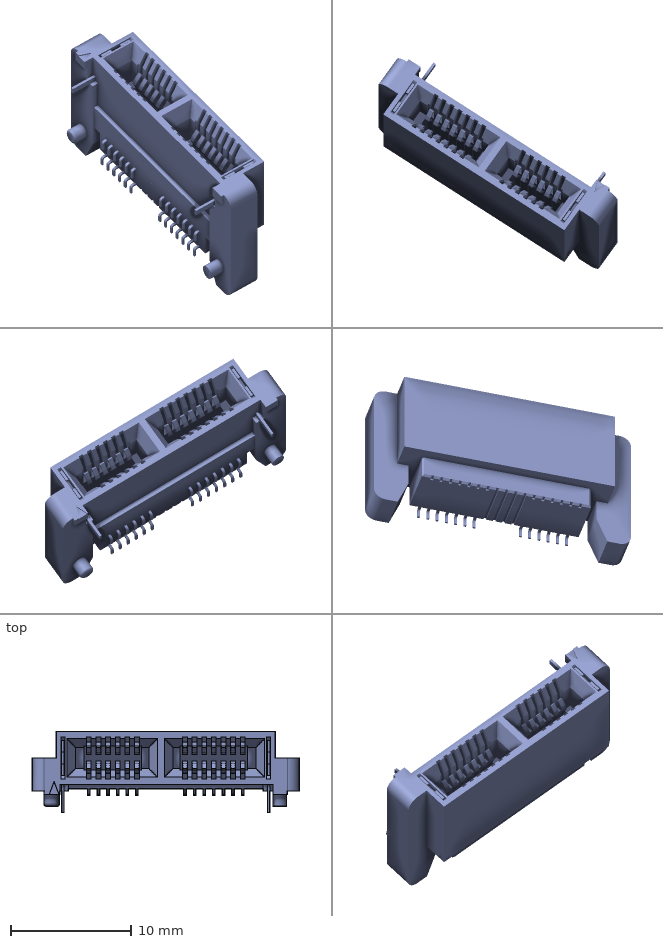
import cadquery as cq


total_height = 12.05
shell_back_y = 4.95
shell_front_y = 0.55
mating_y = 2.75

shell_half_width = 9.1
shell_bottom_z = 4.26

ledge_half_width = 8.1
ledge_front_y = 0.18
ledge_top_z = 6.75

leg_outer_x = 11.1
leg_back_y = mating_y
leg_corner_radius = 1.0
leg_tip_x = 9.05
leg_taper_z = 2.3
leg_step_z = 9.45
left_upper_x = 8.8
right_upper_x = 8.9

pad_width_end_x = 10.1
pad_height = 1.0
pad_thickness = 0.27

mark_center_x = -9.28
mark_half_width = 0.4
mark_length = 1.05
mark_depth = 0.1

peg_x = 9.48
peg_z = 2.78
peg_length = 1.27
round_peg_diameter = 1.29
round_peg_fillet = 0.2
oval_peg_width = 1.15

pitch = 0.8
position_count = 17
empty_positions = (6, 7, 8, 9)
position_xs = [(i - (position_count - 1) / 2) * pitch for i in range(position_count)]
left_group_xs = position_xs[:empty_positions[0]]
right_group_xs = position_xs[empty_positions[-1] + 1:]
contact_xs = left_group_xs + right_group_xs

left_pocket_x = (-8.21, -0.69)
right_pocket_x = (-0.1, 8.21)
pocket_half_depth = 1.6
funnel_inset = 0.7
funnel_depth = 1.27
pocket_floor_z = 8.21
opening_margin = 0.4
opening_half_depth = 1.0
slot_half_depth = 1.73
blade_width = 0.4

clip_x = 8.55
clip_thickness = 0.22
clip_slot_width = 0.35
clip_half_depth = 1.47
clip_top_z = 11.99
clip_bottom_z = leg_step_z
clip_notch_half = 0.49
clip_notch_depth = 0.33
clip_taper_depth = 0.33
post_height = 0.53
post_tip_y = -1.8

carrier_half_width = 7.3
carrier_front_y = ledge_front_y
carrier_back_y = 4.08
carrier_bottom_z = 2.26
carrier_chamfer = 0.15

tail_width = 0.22
tail_thickness = 0.15
tail_bend_radius = 0.29
front_tail_y = -0.27
front_tail_end_z = 3.33
rear_tail_y = -0.35
rear_tail_end_z = 1.53
leg_inner_offset = 0.78
leg_outer_offset = leg_inner_offset + tail_thickness
leg_embed = 0.22


def box(x_range, y_range, z_range):
    size = [end - start for start, end in (x_range, y_range, z_range)]
    return cq.Workplane("XY").box(*size, centered=False).translate((x_range[0], y_range[0], z_range[0]))


def around(center, half):
    return (center - half, center + half)


def yz_prism(sketch_points, center_x, width):
    """Closed (y, z) polygon extruded to a width centred on center_x."""
    outline = cq.Workplane("YZ", origin=(center_x - width / 2, 0, 0)).polyline(sketch_points).close()
    return outline.extrude(width)


def leg(side, upper_distance):
    """Leg on one side (-1 left, +1 right) with rounded outer corners and a tapered foot."""
    outline = [
        (side * upper_distance, total_height),
        (side * leg_outer_x, total_height),
        (side * leg_outer_x, 0),
        (side * leg_tip_x, 0),
        (side * ledge_half_width, leg_taper_z),
        (side * ledge_half_width, leg_step_z),
        (side * upper_distance, leg_step_z),
    ]
    blank = cq.Workplane("XZ").polyline(outline).close().extrude(-leg_back_y)
    outer_face = "<X" if side < 0 else ">X"
    return blank.faces(outer_face).edges("|Y").fillet(leg_corner_radius)


def pad(side, upper_distance):
    x_range = sorted((side * upper_distance, side * pad_width_end_x))
    return box(x_range, (-pad_thickness, 0), (total_height - pad_height, total_height))


def pin_one_mark():
    front_y = -pad_thickness
    triangle = [
        (mark_center_x - mark_half_width, front_y),
        (mark_center_x + mark_half_width, front_y),
        (mark_center_x, front_y + mark_length),
    ]
    plane = cq.Workplane("XY", origin=(0, 0, total_height - mark_depth))
    return plane.polyline(triangle).close().extrude(mark_depth)


def round_peg():
    peg = cq.Workplane("XZ", origin=(-peg_x, 0, peg_z)).circle(round_peg_diameter / 2).extrude(peg_length)
    return peg.faces("<Y").edges().fillet(round_peg_fillet)


def oval_peg():
    plane = cq.Workplane("XZ", origin=(peg_x, 0, peg_z))
    return plane.ellipse(oval_peg_width / 2, round_peg_diameter / 2).extrude(peg_length)


def pocket(x_range, group_xs):
    """Funnel mouth, straight well, opening down to the carrier, and the contact slots in both walls."""
    width = x_range[1] - x_range[0]
    center_x = sum(x_range) / 2
    funnel = (
        cq.Workplane("XY", origin=(center_x, mating_y, total_height))
        .rect(width, 2 * pocket_half_depth)
        .workplane(offset=-funnel_depth)
        .rect(width - 2 * funnel_inset, 2 * (pocket_half_depth - funnel_inset))
        .loft(ruled=True)
    )
    well_x = (x_range[0] + funnel_inset, x_range[1] - funnel_inset)
    funnel_bottom_z = total_height - funnel_depth
    well = box(well_x, around(mating_y, pocket_half_depth - funnel_inset), (pocket_floor_z, funnel_bottom_z))
    opening_x = (group_xs[0] - opening_margin, group_xs[-1] + opening_margin)
    opening = box(opening_x, around(mating_y, opening_half_depth), (shell_bottom_z, total_height))
    cavity = funnel.union(well).union(opening)
    for x in group_xs:
        slot_x = around(x, blade_width / 2)
        cavity = cavity.union(box(slot_x, around(mating_y, slot_half_depth), (pocket_floor_z, total_height)))
    return cavity


def clip_slot(x):
    """Slot for a clip, with both ends sloping in to the clip's depth."""
    taper_z = total_height - clip_taper_depth
    outline = [
        (mating_y - slot_half_depth, total_height),
        (mating_y - clip_half_depth, taper_z),
        (mating_y - clip_half_depth, clip_bottom_z),
        (mating_y + clip_half_depth, clip_bottom_z),
        (mating_y + clip_half_depth, taper_z),
        (mating_y + slot_half_depth, total_height),
    ]
    return yz_prism(outline, x, clip_slot_width)


def clip(x):
    """Board-lock plate, notched at its top, with a post reaching out through the shell front."""
    x_range = around(x, clip_thickness / 2)
    plate = box(x_range, around(mating_y, clip_half_depth), (clip_bottom_z, clip_top_z))
    notch = box(x_range, around(mating_y, clip_notch_half), (clip_top_z - clip_notch_depth, clip_top_z))
    post = box(x_range, (post_tip_y, mating_y), (clip_bottom_z, clip_bottom_z + post_height))
    return plate.cut(notch).union(post)


def build_housing():
    """Shell with ledge, legs, pads and pegs; the board-lock clips are part of it."""
    body = box(around(0, shell_half_width), (shell_front_y, shell_back_y), (shell_bottom_z, total_height))
    body = body.union(
        box(around(0, ledge_half_width), (ledge_front_y, mating_y), (shell_bottom_z, ledge_top_z))
    )
    body = body.union(leg(-1, left_upper_x)).union(leg(1, right_upper_x))
    body = body.union(pad(-1, left_upper_x)).union(pad(1, right_upper_x))
    body = body.union(round_peg()).union(oval_peg())
    body = body.cut(pin_one_mark())
    body = body.cut(pocket(left_pocket_x, left_group_xs)).cut(pocket(right_pocket_x, right_group_xs))
    for x in (-clip_x, clip_x):
        body = body.cut(clip_slot(x)).union(clip(x))
    return body


def contact_blade(x, row):
    """Spring blade of one row (-1 front, +1 rear), bowed toward the mating plane and hooked at its tip.

    The outline gives (distance from the mating plane, height).
    """
    root_z = shell_bottom_z - leg_embed
    outline = [
        (leg_inner_offset, root_z),
        (leg_inner_offset, 8.0),
        (0.27, 9.21),
        (0.47, 9.6),
        (0.89, 10.1),
        (1.0, 10.01),
        (1.3, 9.41),
        (1.18, 9.35),
        (0.9, 9.85),
        (0.62, 9.55),
        (0.47, 9.2),
        (leg_outer_offset, 8.0),
        (leg_outer_offset, root_z),
    ]
    return yz_prism([(mating_y + row * offset, z) for offset, z in outline], x, blade_width)


def solder_tail(x, top_z, end_z, tip_y, root_y):
    """Flat tail running forward from root_y and bent down at tip_y."""
    inner_radius = tail_bend_radius - tail_thickness
    bend_y = tip_y + tail_bend_radius
    bend_z = top_z - tail_bend_radius
    diagonal = 0.5 ** 0.5
    return (
        cq.Workplane("YZ", origin=(x - tail_width / 2, 0, 0))
        .moveTo(root_y, top_z)
        .lineTo(bend_y, top_z)
        .threePointArc(
            (bend_y - tail_bend_radius * diagonal, bend_z + tail_bend_radius * diagonal), (tip_y, bend_z)
        )
        .lineTo(tip_y, end_z)
        .lineTo(tip_y + tail_thickness, end_z)
        .lineTo(tip_y + tail_thickness, bend_z)
        .threePointArc(
            (bend_y - inner_radius * diagonal, bend_z + inner_radius * diagonal),
            (bend_y, top_z - tail_thickness),
        )
        .lineTo(root_y, top_z - tail_thickness)
        .close()
        .extrude(tail_width)
    )


def build_contact_module():
    """Carrier block under the shell with both rows of contacts fixed in it."""
    y_range = (carrier_front_y, carrier_back_y)
    body = box(around(0, carrier_half_width), y_range, (carrier_bottom_z, shell_bottom_z))
    back_edges = body.faces(">Y").edges("|Z").add(body.faces(">Y").edges("<Z"))
    body = back_edges.chamfer(carrier_chamfer)

    notch_top_z = carrier_bottom_z + tail_thickness
    for x in position_xs:
        body = body.cut(box(around(x, tail_width / 2), y_range, (carrier_bottom_z, notch_top_z)))

    front_root_y = mating_y - leg_inner_offset
    rear_root_y = mating_y + leg_outer_offset
    for x in contact_xs:
        body = body.union(contact_blade(x, -1)).union(contact_blade(x, 1))
        body = body.union(solder_tail(x, shell_bottom_z, front_tail_end_z, front_tail_y, front_root_y))
        body = body.union(solder_tail(x, notch_top_z, rear_tail_end_z, rear_tail_y, rear_root_y))
    return body


housing = build_housing()
contact_module = build_contact_module()

result = cq.Compound.makeCompound([housing.val(), contact_module.val()])